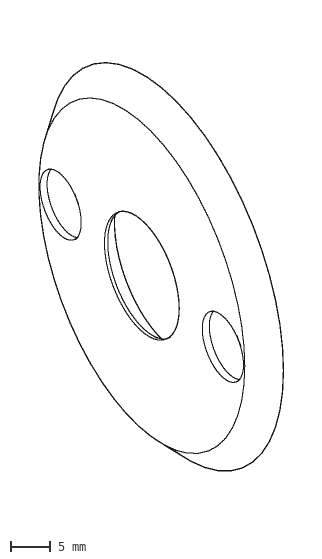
import cadquery as cq

outer_diameter = 54.0
thickness = 3.5
bore_diameter = 17.0
screw_spacing = 37.0
screw_hole_diameter = 4.5
sink_diameter = 9.4
bore_land = 0.5

outer_radius = outer_diameter / 2
face_radius = outer_radius - thickness
bore_radius = bore_diameter / 2
bore_flare_radius = bore_radius + thickness - bore_land

sink_radius = sink_diameter / 2
screw_hole_radius = screw_hole_diameter / 2
sink_cone_depth = sink_radius - screw_hole_radius
sink_rim_depth = thickness - sink_cone_depth

front = -thickness / 2
back = thickness / 2


def turned(profile):
    """Solid of revolution about Y from (radius, y) points, closed along the axis."""
    first_y = profile[0][1]
    last_y = profile[-1][1]
    outline = [(0, first_y), *profile, (0, last_y)]
    return cq.Workplane("XY").polyline(outline).close().revolve(360, (0, 0), (0, 1))


disc = turned([(face_radius, front), (outer_radius, back)])

bore = turned(
    [
        (bore_radius, front),
        (bore_radius, front + bore_land),
        (bore_flare_radius, back),
    ]
)

screw_hole = turned(
    [
        (sink_radius, front),
        (sink_radius, front + sink_rim_depth),
        (screw_hole_radius, back),
    ]
)

result = disc.cut(bore)
for side in (-1, 1):
    result = result.cut(screw_hole.translate((side * screw_spacing / 2, 0, 0)))